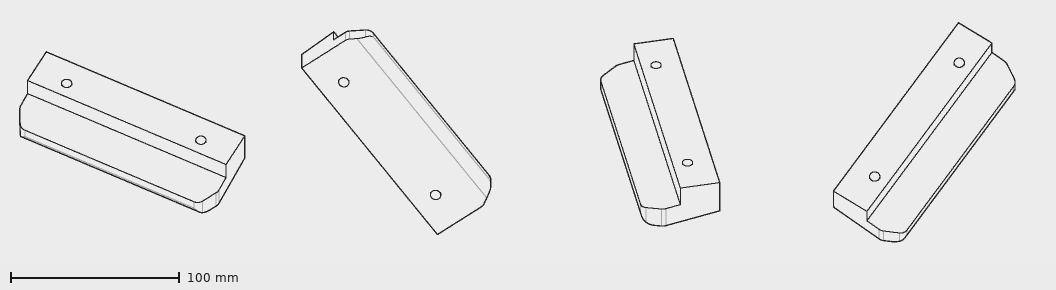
import cadquery as cq
import math

length = 133.0
depth = 46.0
height = 29.3

block_depth = 24.0
step_height = 13.0
lip_slope = math.radians(10)
nose_radius = 6.0

corner_setback = 12.0
corner_angle = math.radians(30)
corner_radius = 5.0

hole_diameter = 6.1
hole_spacing = 89.9
hole_from_back = 15.0

back_y = depth / 2
front_y = -depth / 2
step_y = back_y - block_depth


def underside_z(y):
    """Height of the sloping underside, which is tangent to the rounded nose."""
    nose_centre_y = front_y + nose_radius
    z_below_centre = nose_radius - nose_radius / math.cos(lip_slope)
    return z_below_centre + (y - nose_centre_y) * math.tan(lip_slope)


def make_body():
    """Stepped side profile run along the length, with its lower front edge rounded."""
    step_z = height - step_height
    lip_front_z = step_z - (step_y - front_y) * math.tan(lip_slope)
    profile = [
        (back_y, height),
        (step_y, height),
        (step_y, step_z),
        (front_y, lip_front_z),
        (front_y, underside_z(front_y)),
        (back_y, underside_z(back_y)),
    ]
    body = cq.Workplane("YZ").polyline(profile).close().extrude(length / 2, both=True)
    return body.faces("<Y").edges("<Z").fillet(nose_radius)


def make_plan():
    """Prism of the plan outline, deep enough to contain the whole height."""
    half_length = length / 2
    corner_inset = corner_setback * math.tan(corner_angle)
    outline = [
        (-half_length, back_y),
        (half_length, back_y),
        (half_length, front_y + corner_setback),
        (half_length - corner_inset, front_y),
        (corner_inset - half_length, front_y),
        (-half_length, front_y + corner_setback),
    ]
    plan = cq.Workplane("XY").polyline(outline).close().extrude(height)
    return plan.edges("|Z").edges("not >Y").fillet(corner_radius)


def make_holes():
    """Pair of vertical through holes in the mounting block."""
    hole_y = back_y - hole_from_back
    centres = [(-hole_spacing / 2, hole_y), (hole_spacing / 2, hole_y)]
    return cq.Workplane("XY").pushPoints(centres).circle(hole_diameter / 2).extrude(height)


result = make_body().intersect(make_plan()).cut(make_holes())